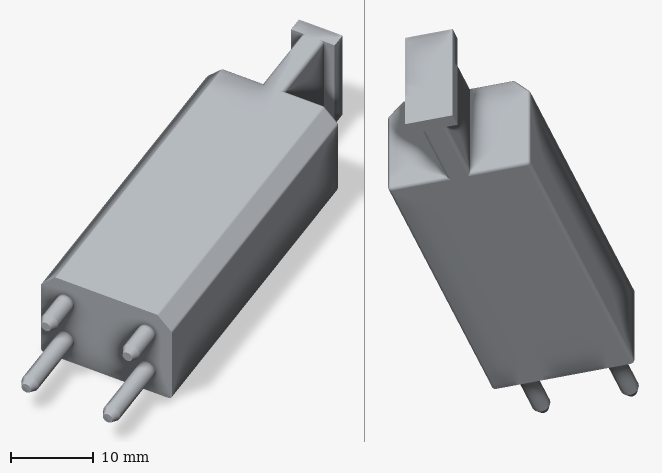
import cadquery as cq

body_width = 18.0
body_length = 42.5
height = 13.0
top_chamfer = 2.0
edge_radius = 0.5

stem_width = 3.0
stem_length = 9.9
head_width = 6.0
head_thickness = 2.0

pin_diameter = 2.3
pin_tip_diameter = 1.3
pin_tip_length = 1.0
pin_spacing_x = 11.2
pin_spacing_z = 6.05
lower_pin_z = 3.5
short_pin_length = 5.0
long_pin_length = 10.0

stem_end_y = body_length + stem_length
upper_pin_z = lower_pin_z + pin_spacing_z

selection_margin = 0.1


def block(width, length, start_y):
    """Full-height block centred on X, running along +Y from start_y."""
    centred_block = cq.Workplane("XY").box(width, length, height, centered=(True, False, False))
    return centred_block.translate((0, start_y, 0))


def sharp_body():
    """Bar with its two upper long edges chamfered."""
    return block(body_width, body_length, 0).edges("|Y and >Z").chamfer(top_chamfer)


def body_with_stem():
    """Body and stem with the long edges and the rear outline of the body rounded."""
    joined = sharp_body().union(block(stem_width, stem_length, body_length))
    inside_corners = cq.selectors.BoxSelector(
        (-stem_width / 2 - selection_margin, body_length - selection_margin, 0),
        (stem_width / 2 + selection_margin, body_length + selection_margin, height),
    )
    rear_outline = joined.faces(">Y[-2]").edges(
        cq.selectors.SubtractSelector(cq.Selector(), inside_corners)
    )
    return joined.edges("|Y").add(rear_outline).fillet(edge_radius)


def pin(x, z, length):
    """Round pin pointing along -Y from the pin face, ending in a conical tip."""
    radius = pin_diameter / 2
    tip_radius = pin_tip_diameter / 2
    shaft = cq.Workplane("XZ").center(x, z).circle(radius).extrude(length - pin_tip_length)
    return (
        shaft.faces("<Y")
        .workplane(centerOption="CenterOfMass")
        .circle(radius)
        .workplane(offset=pin_tip_length)
        .circle(tip_radius)
        .loft()
    )


result = body_with_stem().union(block(head_width, head_thickness, stem_end_y))
for side in (-1, 1):
    pin_x = side * pin_spacing_x / 2
    result = result.union(pin(pin_x, upper_pin_z, short_pin_length))
    result = result.union(pin(pin_x, lower_pin_z, long_pin_length))